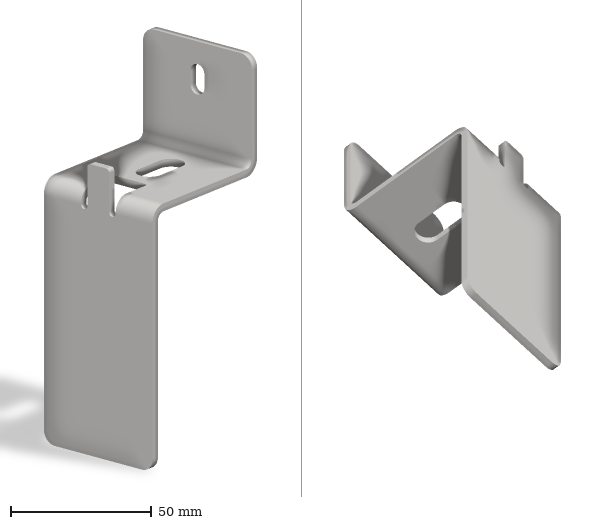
import cadquery as cq

width = 50.0
depth = 58.8
height = 142.0
thickness = 3.0
inner_bend = 3.0
outer_bend = inner_bend + thickness
shelf_top = 100.0
shelf_bottom = shelf_top - thickness
plate_corner = 5.0

tab_width = 10.0
tab_top = 110.0
tab_corner = 1.4
window_width = 15.9
window_depth = 18.2
window_corner = 1.4
relief_width = (window_width - tab_width) / 2
relief_bottom = 92.5
relief_radius = relief_width / 2
notch_floor = relief_bottom + relief_radius

wall_slot_width = 6.4
wall_slot_length = 11.5
wall_slot_z = 127.7
shelf_slot_width = 10.0
shelf_slot_length = 22.0
shelf_slot_y = 35.0


def bent_sheet():
    """Z-shaped profile with both bends rounded, swept across the width."""
    sheet = (
        cq.Workplane("YZ")
        .polyline([
            (0, 0),
            (thickness, 0),
            (thickness, shelf_bottom),
            (depth, shelf_bottom),
            (depth, height),
            (depth - thickness, height),
            (depth - thickness, shelf_top),
            (0, shelf_top),
        ])
        .close()
        .extrude(width / 2, both=True)
    )
    bends = [
        (thickness, shelf_bottom, inner_bend),
        (0, shelf_top, outer_bend),
        (depth - thickness, shelf_top, inner_bend),
        (depth, shelf_bottom, outer_bend),
    ]
    for y, z, radius in bends:
        bend_edge = cq.selectors.NearestToPointSelector((0, y, z))
        sheet = sheet.edges(bend_edge).fillet(radius)
    sheet = sheet.edges("|Y and >Z").fillet(plate_corner)
    return sheet.edges("|Y and <Z").fillet(plate_corner)


def tab_window():
    """Opening through shelf and front bend, with a round-bottomed notch on each side of the tab."""
    opening = (
        cq.Workplane("XY", origin=(0, window_depth / 2, notch_floor))
        .rect(window_width, window_depth)
        .extrude(shelf_top - notch_floor)
        .edges("|Z and >Y")
        .fillet(window_corner)
    )
    notch_offset = (tab_width + relief_width) / 2
    notch_ends = (
        cq.Workplane("XZ", origin=(0, thickness, notch_floor))
        .pushPoints([(-notch_offset, 0), (notch_offset, 0)])
        .circle(relief_radius)
        .extrude(thickness)
    )
    return opening.union(notch_ends)


def tab():
    """Tab continuing the front plate straight up, with rounded top corners."""
    return (
        cq.Workplane("XZ", origin=(0, thickness, (notch_floor + tab_top) / 2))
        .rect(tab_width, tab_top - notch_floor)
        .extrude(thickness)
        .edges("|Y and >Z")
        .fillet(tab_corner)
    )


def wall_slot():
    return (
        cq.Workplane("XZ", origin=(0, depth, wall_slot_z))
        .slot2D(wall_slot_length, wall_slot_width, 90)
        .extrude(thickness)
    )


def shelf_slot():
    return (
        cq.Workplane("XY", origin=(0, shelf_slot_y, shelf_bottom))
        .slot2D(shelf_slot_length, shelf_slot_width, 90)
        .extrude(thickness)
    )


result = bent_sheet().cut(tab_window()).union(tab())
result = result.cut(wall_slot()).cut(shelf_slot())